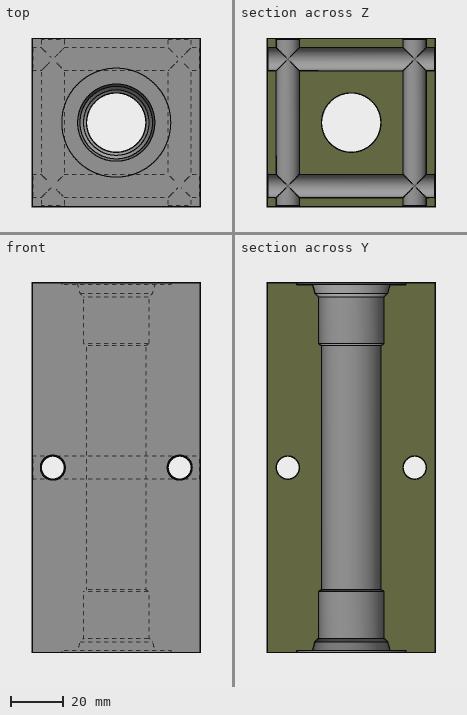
import cadquery as cq
import math

width = 63.5
height = 139.7

spotface_diameter = 41.2
spotface_depth = 0.7
seat_diameter = 29.2
seat_depth = 3.4
seat_taper = 15.0
thread_diameter = 24.7
thread_depth = 22.4
lead_in_angle = 45.0
drill_half_angle = 60.0
bore_diameter = 22.4

hole_diameter = 8.7
hole_chamfer = 0.4
hole_spacing = 47.9


def cone_length(large_radius, small_radius, half_angle):
    return (large_radius - small_radius) / math.tan(math.radians(half_angle))


def make_port():
    """Cutter for the top port, revolved about Z and ending at mid height."""
    top = height / 2
    floor = top - spotface_depth
    spotface_radius = spotface_diameter / 2
    seat_radius = seat_diameter / 2
    thread_radius = thread_diameter / 2
    bore_radius = bore_diameter / 2

    seat_end = floor - seat_depth
    seat_end_radius = seat_radius - seat_depth * math.tan(math.radians(seat_taper))
    lead_in_end = seat_end - cone_length(seat_end_radius, thread_radius, lead_in_angle)
    thread_end = floor - thread_depth
    drill_end = thread_end - cone_length(thread_radius, bore_radius, drill_half_angle)

    profile = [
        (0, top),
        (spotface_radius, top),
        (spotface_radius, floor),
        (seat_radius, floor),
        (seat_end_radius, seat_end),
        (thread_radius, lead_in_end),
        (thread_radius, thread_end),
        (bore_radius, drill_end),
        (bore_radius, 0),
        (0, 0),
    ]
    return cq.Workplane("XZ").polyline(profile).close().revolve(360, (0, 0, 0), (0, 1, 0))


def make_cross_hole(offset):
    """Cutter for one hole along Y at X = offset, chamfered at both ends."""
    half_width = width / 2
    radius = hole_diameter / 2
    mouth_radius = radius + hole_chamfer
    chamfer_start = half_width - hole_chamfer
    profile = [
        (0, -half_width),
        (mouth_radius, -half_width),
        (radius, -chamfer_start),
        (radius, chamfer_start),
        (mouth_radius, half_width),
        (0, half_width),
    ]
    hole = cq.Workplane("XY").polyline(profile).close().revolve(360, (0, 0, 0), (0, 1, 0))
    return hole.translate((offset, 0, 0))


result = cq.Workplane("XY").box(width, width, height)

port = make_port()
result = result.cut(port).cut(port.mirror("XY"))

for offset in (-hole_spacing / 2, hole_spacing / 2):
    hole_along_y = make_cross_hole(offset)
    hole_along_x = hole_along_y.rotate((0, 0, 0), (0, 0, 1), 90)
    result = result.cut(hole_along_y).cut(hole_along_x)